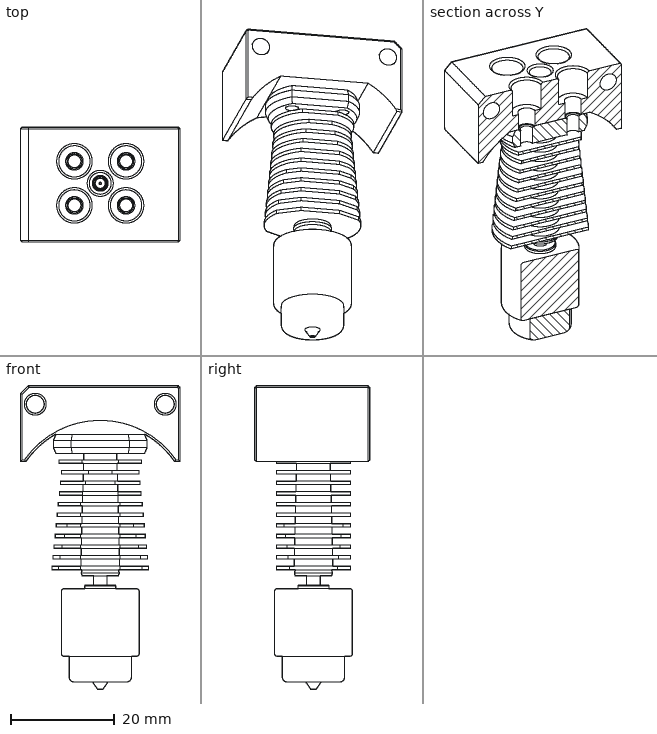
import cadquery as cq


mount_width = 30.8
mount_depth = 22.2
mount_top = 58.5
mount_bottom = 43.9
mount_centre_y = -0.25
mount_front = mount_centre_y - mount_depth / 2
edge_chamfer = 0.35
rim_chamfer = 0.4
corner_chamfer = 1.5

seat_z = 49.15
arch_axis_z = 34.05
arch_radius = 17.4
arch_front_radius = 17.8

cross_hole_diameter = 3.4
cross_hole_x = 12.5
cross_hole_z = 54.95

screw_pitch_x = 9.95
screw_pitch_y = 8.5
screw_head_diameter = 6.0
screw_clearance_diameter = 3.4
screw_head_depth = 5.85
screw_thread_diameter = 2.45
screw_thread_chamfer = 0.25
feed_hole_diameter = 4.2

flat_distance = 7.15
oblique_flat_distance = 8.1
oblique_flat_angle = 30.0
flange_radius = 9.05
flange_bottom = 45.4
flange_bevel_height = 1.15
flange_bevel_inset = 0.5
core_top_radius = 3.2
core_radius_step = 0.05
lip_radius = 3.7
lip_waist_radius = 3.5
lip_z = 22.4
core_bottom = 21.9
fin_count = 11
fin_pitch = 2.05
fin_thickness = 0.7
top_fin_bottom = 43.5
top_fin_radius = 7.95
second_fin_radius = 7.5
fin_radius_step = 0.205

tube_diameter = 2.7
tube_bore_diameter = 2.0
tube_mouth_chamfer = 0.25
tube_seat_chamfer = 0.2
nozzle_top = 20.1
nozzle_core_diameter = 6.0
nozzle_core_chamfer = 0.2
nozzle_neck_diameter = 3.0
nozzle_bore_diameter = 1.95
tip_diameter = 1.05
orifice_diameter = 0.385
orifice_length = 0.6
heater_diameter = 15.05
heater_bottom = 6.4
heater_top = 19.4
heater_fillet = 0.5
sleeve_diameter = 12.05
sleeve_bottom = 1.4
sleeve_fillet = 1.0


def cylinder(diameter, bottom, top):
    return cq.Workplane("XY").workplane(offset=bottom).circle(diameter / 2).extrude(top - bottom)


def cone(bottom_radius, top_radius, bottom, top):
    return cq.Workplane(cq.Solid.makeCone(bottom_radius, top_radius, top - bottom, cq.Vector(0, 0, bottom)))


def mouth_cutter(diameter, chamfer, top):
    """Cone that chamfers the upper rim of a vertical hole on the axis."""
    return cone(diameter / 2, diameter / 2 + chamfer, top - chamfer, top)


def at_screws(shape):
    """Copies of a shape on the axis, moved to the four screw positions."""
    copies = cq.Workplane("XY")
    for side_x in (-1, 1):
        for side_y in (-1, 1):
            place = (side_x * screw_pitch_x / 2, side_y * screw_pitch_y / 2, 0)
            copies = copies.add(shape.translate(place))
    return copies.combine()


def arch_cutter():
    """Round channel along Y whose crown is cut off flat at the flange seat."""
    channel = (
        cq.Workplane("XZ", origin=(0, mount_centre_y, arch_axis_z))
        .circle(arch_radius)
        .extrude(mount_depth / 2, both=True)
    )
    crown = cq.Workplane("XY", origin=(0, mount_centre_y, seat_z)).box(
        2 * arch_radius, 2 * mount_depth, arch_radius, centered=(True, True, False)
    )
    return channel.cut(crown)


def arch_front_cutter():
    """45 degree cone that flares the front of the arch and runs up through the flange seat."""
    end_radius = seat_z - arch_axis_z
    length = arch_front_radius - end_radius
    flare_start = cq.Vector(0, mount_front, arch_axis_z)
    return cq.Solid.makeCone(arch_front_radius, end_radius, length, flare_start, cq.Vector(0, 1, 0))


def make_mount():
    body = cq.Workplane("XY", origin=(0, mount_centre_y, mount_bottom)).box(
        mount_width, mount_depth, mount_top - mount_bottom, centered=(True, True, False)
    )
    body = body.edges("|Y and >Z and <X").chamfer(corner_chamfer)
    body = body.edges("|Y and >Z and >X").chamfer(edge_chamfer)
    body = body.faces("<Y or >Y").edges().chamfer(edge_chamfer)
    body = body.cut(arch_cutter()).cut(arch_front_cutter())

    cross_holes = (
        body.faces("<Y").workplane(origin=(0, mount_front, cross_hole_z))
        .pushPoints([(-cross_hole_x, 0), (cross_hole_x, 0)])
    )
    cross_rim_diameter = cross_hole_diameter + 2 * rim_chamfer
    body = cross_holes.cskHole(cross_hole_diameter, cross_rim_diameter, 90)

    screw_hole = (
        cylinder(screw_clearance_diameter, seat_z, mount_top)
        .union(cylinder(screw_head_diameter, mount_top - screw_head_depth, mount_top))
        .union(mouth_cutter(screw_head_diameter, rim_chamfer, mount_top))
    )
    feed_hole = cylinder(feed_hole_diameter, seat_z, mount_top).union(
        mouth_cutter(feed_hole_diameter, rim_chamfer, mount_top)
    )
    return body.cut(at_screws(screw_hole)).cut(feed_hole)


def flatted_disc(radius, bottom, thickness, flat):
    """Round disc with a flat at the front and another at the back."""
    slab = cq.Workplane("XY").workplane(offset=bottom).rect(2 * radius, 2 * flat).extrude(thickness)
    return cylinder(2 * radius, bottom, bottom + thickness).intersect(slab)


def flange_bevel(bottom, thickness, start_inset, end_inset):
    """Bevelled layer of the flange: a cone cut by two leaning flats."""
    layer = cone(flange_radius - start_inset, flange_radius - end_inset, bottom, bottom + thickness)
    wedge = (
        cq.Workplane("XY").workplane(offset=bottom)
        .rect(2 * flange_radius, 2 * (flat_distance - start_inset))
        .workplane(offset=thickness)
        .rect(2 * flange_radius, 2 * (flat_distance - end_inset))
        .loft(ruled=True)
    )
    return layer.intersect(wedge)


def make_flange():
    band_bottom = flange_bottom + flange_bevel_height
    band_top = seat_z - flange_bevel_height
    lower = flange_bevel(flange_bottom, flange_bevel_height, flange_bevel_inset, 0)
    band = flatted_disc(flange_radius, band_bottom, band_top - band_bottom, flat_distance)
    upper = flange_bevel(band_top, flange_bevel_height, 0, flange_bevel_inset)
    return lower.union(band).union(upper)


def fin_bottom(index):
    return top_fin_bottom - index * fin_pitch


def make_core_section(index):
    """Round core between the bottom of a fin and the fin or flange above it."""
    section_top = flange_bottom if index == 0 else fin_bottom(index - 1)
    radius = core_top_radius + core_radius_step * index
    return cylinder(2 * radius, fin_bottom(index), section_top)


def make_lip():
    """Pointed rim below the lowest fin, formed by two cones."""
    upper = cone(lip_radius, lip_waist_radius, lip_z, fin_bottom(fin_count - 1))
    lower = cone(lip_waist_radius, lip_radius, core_bottom, lip_z)
    return upper.union(lower)


def make_fin(index):
    """Fin number index, counted down from the flange; the wider ones reach the slanting flats."""
    radius = second_fin_radius + fin_radius_step * (index - 1) if index > 0 else top_fin_radius
    bottom = fin_bottom(index)
    fin = flatted_disc(radius, bottom, fin_thickness, flat_distance)
    for angle in (-oblique_flat_angle, oblique_flat_angle):
        slab = (
            cq.Workplane("XY").workplane(offset=bottom)
            .rect(4 * radius, 2 * oblique_flat_distance)
            .extrude(fin_thickness)
            .rotate((0, 0, 0), (0, 0, 1), angle)
        )
        fin = fin.intersect(slab)
    return fin


def make_heatsink():
    body = make_flange()
    for index in range(fin_count):
        body = body.union(make_core_section(index)).union(make_fin(index))
    body = body.union(make_lip())
    thread_hole = cylinder(screw_thread_diameter, flange_bottom, seat_z).union(
        mouth_cutter(screw_thread_diameter, screw_thread_chamfer, seat_z)
    )
    body = body.cut(at_screws(thread_hole))
    body = body.cut(cylinder(tube_diameter, core_bottom, seat_z))
    return body.cut(mouth_cutter(tube_diameter, tube_seat_chamfer, seat_z))


def make_heat_break():
    tube = cylinder(tube_diameter, nozzle_top, seat_z).cut(cylinder(tube_bore_diameter, nozzle_top, seat_z))
    return tube.cut(mouth_cutter(tube_bore_diameter, tube_mouth_chamfer, seat_z))


def make_nozzle():
    """Core inside the heater, neck inside the sleeve, and a conical tip with a funnel to the orifice."""
    core = cylinder(nozzle_core_diameter, heater_bottom, nozzle_top)
    core = core.faces(">Z").edges().chamfer(nozzle_core_chamfer)
    neck = cylinder(nozzle_neck_diameter, sleeve_bottom, heater_bottom)
    tip = cone(tip_diameter / 2, nozzle_neck_diameter / 2, 0, sleeve_bottom)
    body = core.union(neck).union(tip)

    orifice_radius = orifice_diameter / 2
    bore_radius = nozzle_bore_diameter / 2
    funnel_top = orifice_length + bore_radius - orifice_radius
    body = body.cut(cylinder(orifice_diameter, 0, orifice_length))
    body = body.cut(cone(orifice_radius, bore_radius, orifice_length, funnel_top))
    return body.cut(cylinder(nozzle_bore_diameter, funnel_top, nozzle_top))


def make_heater():
    body = cylinder(heater_diameter, heater_bottom, heater_top).edges().fillet(heater_fillet)
    return body.cut(cylinder(nozzle_core_diameter, heater_bottom, heater_top))


def make_sleeve():
    body = cylinder(sleeve_diameter, sleeve_bottom, heater_bottom)
    body = body.faces("<Z").edges().fillet(sleeve_fillet)
    return body.cut(cylinder(nozzle_neck_diameter, sleeve_bottom, heater_bottom))


mount = make_mount()
heatsink = make_heatsink()
heat_break = make_heat_break()
nozzle = make_nozzle()
heater = make_heater()
sleeve = make_sleeve()

result = cq.Compound.makeCompound([
    mount.solids().val(),
    heatsink.solids().val(),
    heat_break.solids().val(),
    nozzle.solids().val(),
    heater.solids().val(),
    sleeve.solids().val(),
])